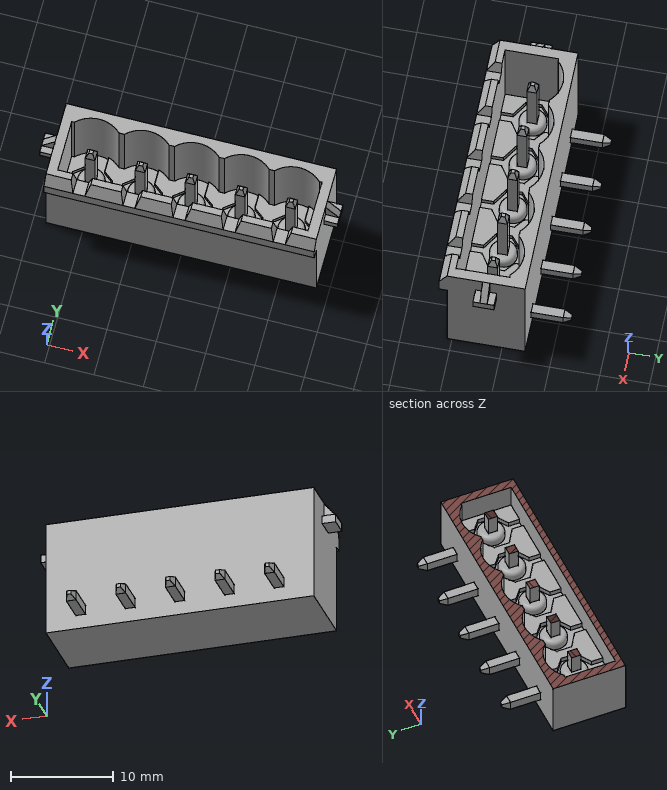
import cadquery as cq
import math


pin_count = 5
pin_pitch = 5.07
pin_positions = [(i - (pin_count - 1) / 2) * pin_pitch for i in range(pin_count)]

overall_length = 30.2
lug_reach = 1.4
housing_length = overall_length - 2 * lug_reach
housing_height = 12.0
back_y = 3.85
body_depth = 7.8
front_y = back_y - body_depth
lip_reach = 0.82
lip_front_y = front_y - lip_reach
lip_height = 2.75
chamfer_height = 1.27

cavity_end_margin = 2.55
cavity_half_length = pin_positions[-1] + cavity_end_margin
cavity_front_y = -3.25
cavity_back_y = 2.08
bay_crown_y = 3.02
bay_radius = 3.2
bay_center_y = bay_crown_y - bay_radius
cavity_floor_z = 3.5

recess_depth = 0.5
recess_floor_z = cavity_floor_z - recess_depth
recess_half_width = 2.02
recess_shoulder_back_y = 0.5
recess_shoulder_front_y = -1.05
back_slot_half_width = 1.0
back_slot_y = 1.33
front_slot_half_width = 0.45
front_slot_y = -2.05

collar_diameter = 2.75
collar_height = 1.0
collar_flat_diameter = 1.75
collar_fillet = (collar_diameter - collar_flat_diameter) / 2

notch_top_width = 2.0
notch_bottom_width = 1.2

lug_width = 2.1
lug_height = 0.85
lug_drop = 1.75
lug_top_z = housing_height - lug_drop
lug_y = (back_y + front_y) / 2
rib_width = 0.72

pin_width = 1.0
pin_tip_width = 0.4
pin_taper_length = 0.8
pin_tip_z = 10.7
tail_z = 1.95
tail_reach = 4.0
tail_tip_y = back_y + tail_reach


def make_outer_block():
    """Body with the chamfered lip along the top of its front wall."""
    profile = [
        (back_y, 0),
        (back_y, housing_height),
        (front_y, housing_height),
        (lip_front_y, housing_height - chamfer_height),
        (lip_front_y, housing_height - lip_height),
        (front_y, housing_height - lip_height),
        (front_y, 0),
    ]
    return cq.Workplane("YZ").polyline(profile).close().extrude(housing_length / 2, both=True)


def make_cavity():
    """Rectangular opening whose back wall is scalloped by a round bay behind each pin."""
    height = housing_height - cavity_floor_z
    floor = cq.Workplane("XY", origin=(0, 0, cavity_floor_z))
    opening = (
        floor.moveTo(-cavity_half_length, cavity_front_y)
        .lineTo(cavity_half_length, cavity_front_y)
        .lineTo(cavity_half_length, cavity_back_y)
        .lineTo(-cavity_half_length, cavity_back_y)
        .close()
        .extrude(height)
    )
    bay_chord_half = math.sqrt(bay_radius**2 - (cavity_back_y - bay_center_y) ** 2)
    for x in pin_positions:
        bay = (
            floor.moveTo(x - bay_chord_half, cavity_back_y)
            .threePointArc((x, bay_crown_y), (x + bay_chord_half, cavity_back_y))
            .close()
            .extrude(height)
        )
        opening = opening.union(bay)
    return opening


def make_recess(x):
    """Keyhole recess running from the front wall of the cavity to the crown of the bay."""
    slot_end_y = bay_center_y + math.sqrt(bay_radius**2 - back_slot_half_width**2)
    right_side = [
        (front_slot_half_width, cavity_front_y),
        (front_slot_half_width, front_slot_y),
        (recess_half_width, recess_shoulder_front_y),
        (recess_half_width, recess_shoulder_back_y),
        (back_slot_half_width, back_slot_y),
        (back_slot_half_width, slot_end_y),
    ]
    left_side = [(-across, y) for across, y in reversed(right_side)]
    return (
        cq.Workplane("XY", origin=(x, 0, recess_floor_z))
        .polyline(right_side)
        .threePointArc((0, bay_crown_y), left_side[0])
        .polyline(left_side, includeCurrent=False)
        .close()
        .extrude(recess_depth)
    )


def make_collar(x):
    """Round boss with a filleted top edge."""
    return (
        cq.Workplane("XY", origin=(x, 0, recess_floor_z))
        .circle(collar_diameter / 2)
        .extrude(collar_height)
        .faces(">Z")
        .edges()
        .fillet(collar_fillet)
    )


def make_notch(x):
    """Tapered notch through the front wall, as deep as the lip chamfer."""
    notch_floor_z = housing_height - chamfer_height
    profile = [
        (x - notch_bottom_width / 2, notch_floor_z),
        (x + notch_bottom_width / 2, notch_floor_z),
        (x + notch_top_width / 2, housing_height),
        (x - notch_top_width / 2, housing_height),
    ]
    return (
        cq.Workplane("XZ", origin=(0, cavity_front_y, 0))
        .polyline(profile)
        .close()
        .extrude(cavity_front_y - lip_front_y)
    )


def make_lug(side):
    """Bar on an end wall with a sloping rib above it; side is -1 or +1."""
    wall_x = side * housing_length / 2
    tip_x = side * overall_length / 2
    bar = cq.Workplane("XY").box(lug_reach, lug_width, lug_height)
    bar = bar.translate(((wall_x + tip_x) / 2, lug_y, lug_top_z - lug_height / 2))
    rib = (
        cq.Workplane("XZ", origin=(0, lug_y, 0))
        .polyline([(wall_x, lug_top_z), (tip_x, lug_top_z), (wall_x, housing_height)])
        .close()
        .extrude(rib_width / 2, both=True)
    )
    return bar.union(rib)


def make_taper(plane):
    """Pyramid frustum from the full pin section to its tip, on the given plane."""
    return (
        cq.Workplane(plane)
        .rect(pin_width, pin_width)
        .workplane(offset=pin_taper_length)
        .rect(pin_tip_width, pin_tip_width)
        .loft()
    )


def make_pin(x):
    """Square pin: an upright contact and a tail leaving through the back wall."""
    half = pin_width / 2
    contact_end_z = pin_tip_z - pin_taper_length
    tail_end_y = tail_tip_y - pin_taper_length
    bent_bar = (
        cq.Workplane("YZ")
        .moveTo(-half, tail_z - half)
        .lineTo(tail_end_y, tail_z - half)
        .lineTo(tail_end_y, tail_z + half)
        .lineTo(half, tail_z + half)
        .lineTo(half, contact_end_z)
        .lineTo(-half, contact_end_z)
        .close()
        .extrude(half, both=True)
    )
    contact_tip = make_taper(cq.Plane((0, 0, contact_end_z), (1, 0, 0), (0, 0, 1)))
    tail_tip = make_taper(cq.Plane((0, tail_end_y, tail_z), (1, 0, 0), (0, 1, 0)))
    return bent_bar.union(contact_tip).union(tail_tip).translate((x, 0, 0))


def make_housing(pins):
    """Housing with one recess, collar and notch per pin, and a channel fitting each pin."""
    housing = make_outer_block().cut(make_cavity())
    for x in pin_positions:
        housing = housing.cut(make_recess(x)).union(make_collar(x)).cut(make_notch(x))
    for side in (-1, 1):
        housing = housing.union(make_lug(side))
    for pin in pins:
        housing = housing.cut(pin)
    return housing


pins = [make_pin(x) for x in pin_positions]
housing = make_housing(pins)

result = cq.Compound.makeCompound([housing.val(), *[pin.val() for pin in pins]])